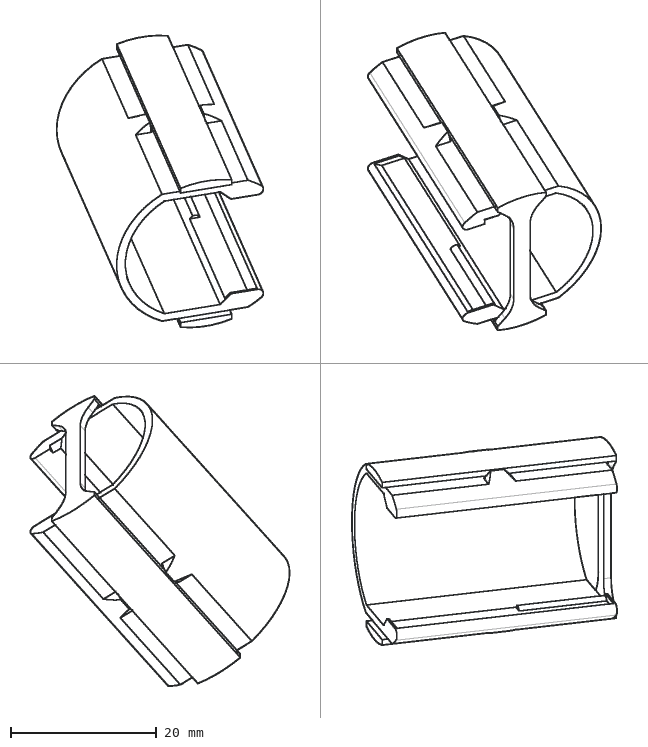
import cadquery as cq
import math

OUTER_RADIUS = 12.55
SLIDE_LENGTH = 33.65
SLIDE_START = -SLIDE_LENGTH / 2

PLATE_THICKNESS = 1.1
RAIL_HALF_WIDTH = 3.65
RAIL_BOTTOM = 11.2
WEB_HALF_WIDTH = 1.228
WEB_FILLET = 4.58

CLIP_LENGTH = 31.63
CLIP_START = -15.48
CLIP_CENTER = CLIP_START + CLIP_LENGTH / 2
WALL = 1.25
INNER_RADIUS = OUTER_RADIUS - WALL
FLAT_OUTER = 10.97
FLAT_INNER = FLAT_OUTER - WALL
LIP_BOTTOM = 8.18
LIP_EDGE = 3.7
LIP_SLOPE_END = LIP_EDGE - (FLAT_INNER - LIP_BOTTOM)
LIP_ROUND = 0.85

TOOTH_BASE = 3.9
TOOTH_INNER_Y = 3.85

RECESS_DEPTH = 0.8
RECESS_TOP = LIP_BOTTOM + RECESS_DEPTH
NOTCH_WALL_Y = 5.0
RECESS_WALL_Y = 7.47
RECESS_FOOT_Y = 6.33
RECESS_RIM = 0.27
RIDGE_RADIUS = 0.85
RIDGE_Y = 3.6
RIDGE_Z = 9.35
RIDGE_END = -2.62


def circle_offset(radius, distance):
    """Half chord of a circle at a distance from its centre."""
    return math.sqrt(radius**2 - distance**2)


def bar_along_x(start, length, radius=OUTER_RADIUS):
    return cq.Workplane("YZ", origin=(start, 0, 0)).circle(radius).extrude(length)


def mirrored_z(body):
    return body.mirror("XY")


def end_plate():
    """Web widening at 45 degrees into the rails at the top and bottom."""
    corner_z = RAIL_BOTTOM - (RAIL_HALF_WIDTH - WEB_HALF_WIDTH)
    outline = [
        (RAIL_HALF_WIDTH, OUTER_RADIUS), (RAIL_HALF_WIDTH, RAIL_BOTTOM),
        (WEB_HALF_WIDTH, corner_z), (WEB_HALF_WIDTH, -corner_z),
        (RAIL_HALF_WIDTH, -RAIL_BOTTOM), (RAIL_HALF_WIDTH, -OUTER_RADIUS),
    ]
    outline += [(-y, z) for y, z in reversed(outline)]
    blank = cq.Workplane("YZ", origin=(SLIDE_START, 0, 0)).polyline(outline).close().extrude(PLATE_THICKNESS)
    web_corners = cq.selectors.BoxSelector(
        (SLIDE_START - 0.35, -WEB_HALF_WIDTH - 0.35, -corner_z - 0.35),
        (SLIDE_START + PLATE_THICKNESS + 0.35, WEB_HALF_WIDTH + 0.35, corner_z + 0.35),
    )
    blank = blank.edges("|X").edges(web_corners).fillet(WEB_FILLET)
    return blank.intersect(bar_along_x(SLIDE_START, PLATE_THICKNESS))


def top_rail():
    height = OUTER_RADIUS - RAIL_BOTTOM
    blank = cq.Workplane("XY", origin=(0, 0, RAIL_BOTTOM)).rect(SLIDE_LENGTH, 2 * RAIL_HALF_WIDTH).extrude(height)
    return blank.intersect(bar_along_x(SLIDE_START, SLIDE_LENGTH))


def make_slide():
    rail = top_rail()
    return end_plate().union(rail).union(mirrored_z(rail))


def clip_tube():
    """C-shaped wall, round outside, with flats inside and two thick lips with round tips."""
    inner_y = circle_offset(INNER_RADIUS, FLAT_INNER)
    tip_z = LIP_BOTTOM + LIP_ROUND
    tip_distance = OUTER_RADIUS - LIP_ROUND
    tip_y = circle_offset(tip_distance, tip_z)
    tangent_scale = OUTER_RADIUS / tip_distance
    tangent = (tip_y * tangent_scale, tip_z * tangent_scale)
    tip_middle = (tip_y + LIP_ROUND, tip_z)
    return (
        cq.Workplane("YZ", origin=(CLIP_START, 0, 0))
        .moveTo(*tangent)
        .threePointArc((-OUTER_RADIUS, 0), (tangent[0], -tangent[1]))
        .threePointArc((tip_middle[0], -tip_middle[1]), (tip_y, -LIP_BOTTOM))
        .lineTo(LIP_EDGE, -LIP_BOTTOM)
        .lineTo(LIP_SLOPE_END, -FLAT_INNER)
        .lineTo(-inner_y, -FLAT_INNER)
        .threePointArc((-INNER_RADIUS, 0), (-inner_y, FLAT_INNER))
        .lineTo(LIP_SLOPE_END, FLAT_INNER)
        .lineTo(LIP_EDGE, LIP_BOTTOM)
        .lineTo(tip_y, LIP_BOTTOM)
        .threePointArc(tip_middle, tangent)
        .close()
        .extrude(CLIP_LENGTH)
    )


def top_flat_cut():
    """Space above the top flat, leaving a 45 degree tooth on each side of the rail."""
    height = OUTER_RADIUS - FLAT_OUTER
    half_base = TOOTH_BASE / 2
    half_top = half_base - height
    outline = [
        (CLIP_CENTER - half_base, FLAT_OUTER), (CLIP_CENTER + half_base, FLAT_OUTER),
        (CLIP_CENTER + half_top, OUTER_RADIUS), (CLIP_CENTER - half_top, OUTER_RADIUS),
    ]
    flat = cq.Workplane("XY", origin=(0, 0, FLAT_OUTER))
    space = flat.rect(2 * SLIDE_LENGTH, 2 * OUTER_RADIUS).extrude(OUTER_RADIUS)
    teeth = cq.Workplane("XZ").polyline(outline).close().extrude(OUTER_RADIUS, both=True)
    rail_gap = flat.rect(SLIDE_LENGTH, 2 * TOOTH_INNER_Y).extrude(OUTER_RADIUS)
    return space.cut(teeth.cut(rail_gap))


def top_lip_notch():
    """Ramped lead-in at the -X end of the top lip."""
    outline = [
        (CLIP_START, LIP_BOTTOM), (CLIP_START, RECESS_TOP),
        (CLIP_START + RECESS_DEPTH, LIP_BOTTOM),
    ]
    return cq.Workplane("XZ", origin=(0, NOTCH_WALL_Y, 0)).polyline(outline).close().extrude(NOTCH_WALL_Y)


def bottom_lip_recess():
    """Sloped recess between two end rims, with a round ridge standing in it."""
    start = CLIP_START + RECESS_RIM
    length = CLIP_LENGTH - 2 * RECESS_RIM
    outline = [
        (RECESS_WALL_Y, -LIP_BOTTOM), (RECESS_FOOT_Y, -RECESS_TOP),
        (0, -RECESS_TOP), (0, -LIP_BOTTOM),
    ]
    recess = cq.Workplane("YZ", origin=(start, 0, 0)).polyline(outline).close().extrude(length)
    ridge = bar_along_x(start, RIDGE_END - start, RIDGE_RADIUS).translate((0, RIDGE_Y, -RIDGE_Z))
    return recess.cut(ridge)


def make_clip():
    flat_cut = top_flat_cut()
    clip = clip_tube().cut(flat_cut).cut(mirrored_z(flat_cut))
    return clip.cut(top_lip_notch()).cut(bottom_lip_recess())


slide = make_slide()
clip = make_clip()
result = cq.Compound.makeCompound([slide.val(), clip.val()])